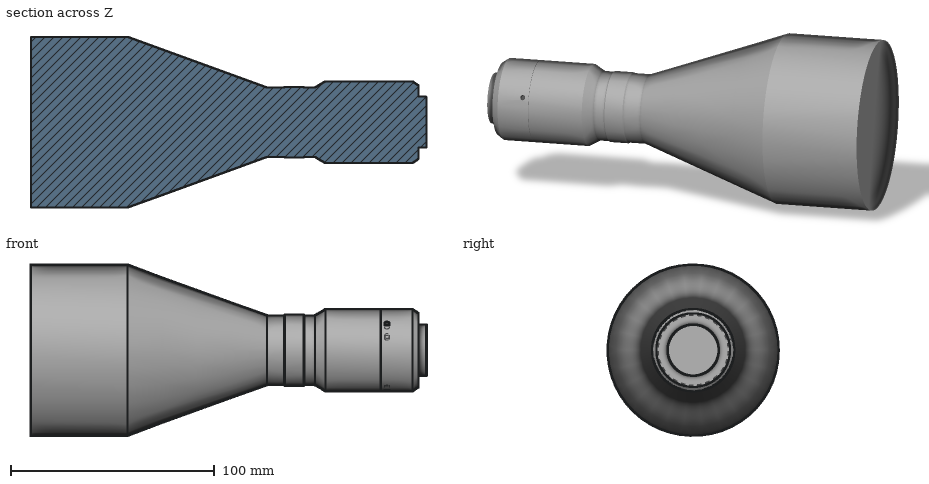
import cadquery as cq
import math

length = 194.4
head_end = 47.6
cone_end = 116.0
ring_start = 124.2
ring_end = 134.3
flare_start = 139.4
barrel_start = 144.6
groove_start = 171.7
barrel_bevel_start = 187.2
barrel_end = 190.3

head_radius = 42.0
neck_radius = 17.1
ring_radius = 17.5
barrel_radius = 20.2
barrel_end_radius = 18.0
tip_radius = 12.6

ring_bevel = 0.5
tip_chamfer_length = 0.5
tip_chamfer_height = 0.2

groove_width = 0.2
groove_depth = 0.4
groove_end = groove_start + groove_width

screw_count = 3
screw_x = 174.8
screw_diameter = 2.5
screw_depth = 2.5
screw_first_angle = 20.0


def make_body():
    """Solid of revolution about X: head, cone, ringed neck, grooved barrel and tip."""
    outline = [
        (0, 0),
        (0, head_radius),
        (head_end, head_radius),
        (cone_end, neck_radius),
        (ring_start, neck_radius),
        (ring_start + ring_bevel, ring_radius),
        (ring_end - ring_bevel, ring_radius),
        (ring_end, neck_radius),
        (flare_start, neck_radius),
        (barrel_start, barrel_radius),
        (groove_start, barrel_radius),
        (groove_start, barrel_radius - groove_depth),
        (groove_end, barrel_radius - groove_depth),
        (groove_end, barrel_radius),
        (barrel_bevel_start, barrel_radius),
        (barrel_end, barrel_end_radius),
        (barrel_end, tip_radius),
        (length - tip_chamfer_length, tip_radius),
        (length, tip_radius - tip_chamfer_height),
        (length, 0),
    ]
    return cq.Workplane("XY").polyline(outline).close().revolve(360, (0, 0, 0), (1, 0, 0))


def make_screw_hole(angle):
    """Cylinder from the flat hole floor outward through the barrel surface."""
    outward = cq.Vector(0, math.cos(math.radians(angle)), math.sin(math.radians(angle)))
    floor_center = cq.Vector(screw_x, 0, 0) + outward * (barrel_radius - screw_depth)
    hole = cq.Solid.makeCylinder(screw_diameter / 2, 2 * screw_depth, floor_center, outward)
    return cq.Workplane(hole)


result = make_body()
for index in range(screw_count):
    result = result.cut(make_screw_hole(screw_first_angle + index * 360 / screw_count))